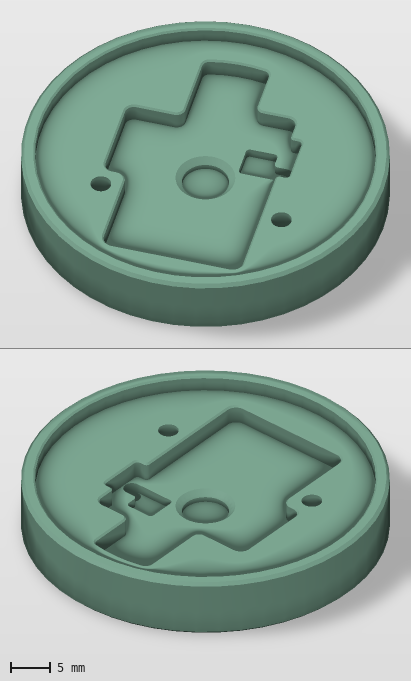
import cadquery as cq
import math

BODY_RADIUS = 23.4
BODY_HEIGHT = 7.9
BODY_CHAMFER = 0.4
RECESS_RADIUS = 21.6
RECESS_DEPTH = 2.1
EDGE_CHAMFER = 0.25
FLARE_ANGLE = 45

POCKET_DEPTH = 2.55
POCKET_LEFT_X = -9.13
POCKET_RIGHT_X = 9.15
POCKET_FRONT_Y = -16.75
POCKET_ARC_RADIUS = 18.1
NECK_LEFT_X = -5.0
NECK_RIGHT_X = 3.65
LEFT_WING_X = -12.3
LEFT_WING_BACK_Y = 7.5
LEFT_WING_FRONT_Y = -4.15
RIGHT_SHOULDER_Y = 10.7
TAB_X = 10.8
TAB_BACK_Y = 7.15
TAB_FRONT_Y = 0.6
SHOULDER_CORNER = 1.15
LARGE_CORNER = 1.4
NECK_CORNER = 1.0
NECK_TIGHT_CORNER = 0.85
TAB_CORNER = 0.5

CENTRE_RADIUS = 3.0
CENTRE_COUNTERSINK = 0.8
CENTRE_DEPTH = 1.5

CABLE_HOLE_X = 9.6
CABLE_HOLE_Y = 3.05
CABLE_HOLE_RADIUS = 1.1
CABLE_POCKET_DEPTH = 1.3
CABLE_POCKET_LEFT_X = 3.75
CABLE_POCKET_STEP_X = 7.85
CABLE_POCKET_BACK_Y = 6.25
CABLE_POCKET_CORNER = 0.5

MOUNT_HOLE_RADIUS = 1.3
MOUNT_CIRCLE_RADIUS = 13.7
MOUNT_ANGLES = (-30, 210)

RECESS_FLOOR_Z = BODY_HEIGHT - RECESS_DEPTH
POCKET_FLOOR_Z = RECESS_FLOOR_Z - POCKET_DEPTH


def cylinder(radius, bottom, top, x=0, y=0):
    """Upright cylinder between two heights."""
    return cq.Workplane("XY", origin=(x, y, bottom)).circle(radius).extrude(top - bottom)


def round_corners(prism, corners):
    """Fillet the upright edge of a prism at each (x, y, radius) corner."""
    mid_height = prism.val().BoundingBox().center.z
    for x, y, radius in corners:
        prism = prism.edges(cq.NearestToPointSelector((x, y, mid_height))).fillet(radius)
    return prism


def make_body():
    """Chamfered disc with the recess and its chamfered mouth removed."""
    body = cylinder(BODY_RADIUS, 0, BODY_HEIGHT).edges().chamfer(BODY_CHAMFER)
    body = body.cut(cylinder(RECESS_RADIUS, RECESS_FLOOR_Z, BODY_HEIGHT))
    return body.faces(">Z").edges(cq.selectors.RadiusNthSelector(0)).chamfer(EDGE_CHAMFER)


def make_pocket():
    """Stepped pocket, flared at the recess floor to chamfer its mouth."""
    neck_left_y = math.sqrt(POCKET_ARC_RADIUS**2 - NECK_LEFT_X**2)
    neck_right_y = math.sqrt(POCKET_ARC_RADIUS**2 - NECK_RIGHT_X**2)
    left_side = [
        (POCKET_LEFT_X, POCKET_FRONT_Y, LARGE_CORNER),
        (POCKET_LEFT_X, LEFT_WING_FRONT_Y, LARGE_CORNER),
        (LEFT_WING_X, LEFT_WING_FRONT_Y, SHOULDER_CORNER),
        (LEFT_WING_X, LEFT_WING_BACK_Y, SHOULDER_CORNER),
        (NECK_LEFT_X, LEFT_WING_BACK_Y, SHOULDER_CORNER),
        (NECK_LEFT_X, neck_left_y, NECK_CORNER),
    ]
    right_side = [
        (NECK_RIGHT_X, neck_right_y, NECK_TIGHT_CORNER),
        (NECK_RIGHT_X, RIGHT_SHOULDER_Y, NECK_CORNER),
        (POCKET_RIGHT_X, RIGHT_SHOULDER_Y, SHOULDER_CORNER),
        (POCKET_RIGHT_X, TAB_BACK_Y, TAB_CORNER),
        (TAB_X, TAB_BACK_Y, TAB_CORNER),
        (TAB_X, TAB_FRONT_Y, TAB_CORNER),
        (POCKET_RIGHT_X, TAB_FRONT_Y, TAB_CORNER),
        (POCKET_RIGHT_X, POCKET_FRONT_Y, LARGE_CORNER),
    ]
    outline = cq.Workplane("XY", origin=(0, 0, POCKET_FLOOR_Z)).moveTo(*left_side[0][:2])
    for x, y, _ in left_side[1:]:
        outline = outline.lineTo(x, y)
    outline = outline.threePointArc((0, POCKET_ARC_RADIUS), right_side[0][:2])
    for x, y, _ in right_side[1:]:
        outline = outline.lineTo(x, y)
    straight = outline.close().extrude(POCKET_DEPTH - EDGE_CHAMFER)
    straight = round_corners(straight, left_side + right_side)
    flare = straight.faces(">Z").wires().toPending().workplane().extrude(
        EDGE_CHAMFER, combine=False, taper=-FLARE_ANGLE
    )
    return straight.union(flare)


def make_centre_hole():
    """Blind hole with a 45 degree countersink."""
    hole = cylinder(CENTRE_RADIUS, POCKET_FLOOR_Z - CENTRE_DEPTH, POCKET_FLOOR_Z)
    cone = cq.Solid.makeCone(
        CENTRE_RADIUS,
        CENTRE_RADIUS + CENTRE_COUNTERSINK,
        CENTRE_COUNTERSINK,
        pnt=cq.Vector(0, 0, POCKET_FLOOR_Z - CENTRE_COUNTERSINK),
    )
    return hole.union(cq.Workplane(cone))


def make_cable_passage():
    """L-shaped pocket whose slot, as wide as the hole, ends in the through hole."""
    slot_front_y = CABLE_HOLE_Y - CABLE_HOLE_RADIUS
    slot_back_y = CABLE_HOLE_Y + CABLE_HOLE_RADIUS
    corners = [
        (CABLE_POCKET_LEFT_X, slot_front_y),
        (CABLE_POCKET_LEFT_X, CABLE_POCKET_BACK_Y),
        (CABLE_POCKET_STEP_X, CABLE_POCKET_BACK_Y),
        (CABLE_POCKET_STEP_X, slot_back_y),
    ]
    slot_end = [(CABLE_HOLE_X, slot_back_y), (CABLE_HOLE_X, slot_front_y)]
    pocket = (
        cq.Workplane("XY", origin=(0, 0, POCKET_FLOOR_Z - CABLE_POCKET_DEPTH))
        .polyline(corners + slot_end)
        .close()
        .extrude(CABLE_POCKET_DEPTH)
    )
    pocket = round_corners(pocket, [(x, y, CABLE_POCKET_CORNER) for x, y in corners])
    hole = cylinder(CABLE_HOLE_RADIUS, 0, POCKET_FLOOR_Z, CABLE_HOLE_X, CABLE_HOLE_Y)
    return pocket.union(hole)


result = make_body().cut(make_pocket()).cut(make_centre_hole()).cut(make_cable_passage())
for angle in MOUNT_ANGLES:
    hole_x = MOUNT_CIRCLE_RADIUS * math.cos(math.radians(angle))
    hole_y = MOUNT_CIRCLE_RADIUS * math.sin(math.radians(angle))
    result = result.cut(cylinder(MOUNT_HOLE_RADIUS, 0, RECESS_FLOOR_Z, hole_x, hole_y))